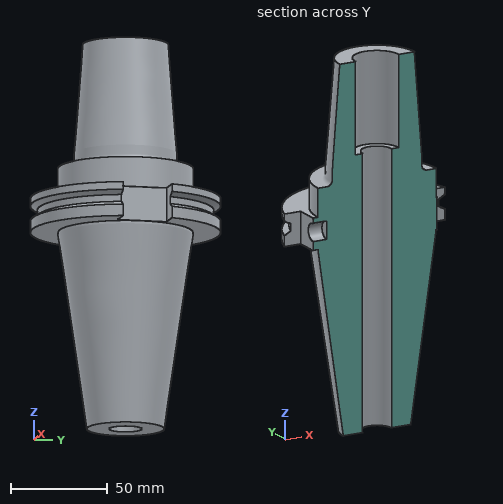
import cadquery as cq
import math

total_height = 201.5
gauge_z = 101.6
flange_bottom_z = 103.0
flange_top_z = 120.8
collar_top_z = 136.5
nose_cone_z = 144.3

taper_diameter = 69.8
taper_ratio = 7 / 24
collar_diameter = 70.2
flange_diameter = 98.4
nose_base_diameter = 53.2
nose_tip_diameter = 44.4
nose_fillet = 3.0

groove_z = 112.9
groove_depth = 3.6
groove_floor_width = 3.6
groove_flank_angle = 30.0

slot_width = 26.0
slot_floor_left = 38.0
slot_floor_right = 35.5
locating_hole_diameter = 9.7
locating_hole_depth = 8.0

tool_bore_diameter = 25.5
tool_bore_depth = 50.5
through_hole_diameter = 17.0


def make_body():
    """Revolved taper, flange blank, collar and nose."""
    taper_tip_radius = (taper_diameter - gauge_z * taper_ratio) / 2
    taper_radius = taper_diameter / 2
    flange_radius = flange_diameter / 2
    collar_radius = collar_diameter / 2
    nose_radius = nose_base_diameter / 2
    fillet_offset = nose_fillet * (1 - math.sqrt(0.5))
    return (
        cq.Workplane("XZ")
        .lineTo(taper_tip_radius, 0)
        .lineTo(taper_radius, gauge_z)
        .lineTo(taper_radius, flange_bottom_z)
        .lineTo(flange_radius, flange_bottom_z)
        .lineTo(flange_radius, flange_top_z)
        .lineTo(collar_radius, flange_top_z)
        .lineTo(collar_radius, collar_top_z)
        .lineTo(nose_radius + nose_fillet, collar_top_z)
        .threePointArc(
            (nose_radius + fillet_offset, collar_top_z + fillet_offset),
            (nose_radius, collar_top_z + nose_fillet),
        )
        .lineTo(nose_radius, nose_cone_z)
        .lineTo(nose_tip_diameter / 2, total_height)
        .lineTo(0, total_height)
        .close()
        .revolve(360, (0, 0), (0, 1))
    )


def make_groove():
    """Ring with sloping flanks that cuts the flange groove."""
    outer_radius = flange_diameter / 2
    floor_radius = outer_radius - groove_depth
    half_floor = groove_floor_width / 2
    half_mouth = half_floor + groove_depth * math.tan(math.radians(groove_flank_angle))
    return (
        cq.Workplane("XZ")
        .moveTo(floor_radius, groove_z - half_floor)
        .lineTo(outer_radius, groove_z - half_mouth)
        .lineTo(outer_radius, groove_z + half_mouth)
        .lineTo(floor_radius, groove_z + half_floor)
        .close()
        .revolve(360, (0, 0), (0, 1))
    )


def make_slot(side, floor_distance):
    """Drive slot through the flange; side is -1 for -X and +1 for +X."""
    slot_length = flange_diameter / 2
    return (
        cq.Workplane("XY", origin=(side * (floor_distance + slot_length / 2), 0, flange_bottom_z))
        .rect(slot_length, slot_width)
        .extrude(flange_top_z - flange_bottom_z)
    )


def make_locating_hole():
    """Blind radial hole entering from the -X slot floor."""
    return (
        cq.Workplane("YZ", origin=(-slot_floor_left, 0, groove_z))
        .circle(locating_hole_diameter / 2)
        .extrude(locating_hole_depth)
    )


def make_bore():
    """Tool bore from the nose, continued by a narrower through hole."""
    through_hole = cq.Workplane("XY").circle(through_hole_diameter / 2).extrude(total_height)
    tool_bore = (
        cq.Workplane("XY", origin=(0, 0, total_height - tool_bore_depth))
        .circle(tool_bore_diameter / 2)
        .extrude(tool_bore_depth)
    )
    return through_hole.union(tool_bore)


result = (
    make_body()
    .cut(make_groove())
    .cut(make_slot(-1, slot_floor_left))
    .cut(make_slot(1, slot_floor_right))
    .cut(make_locating_hole())
    .cut(make_bore())
)